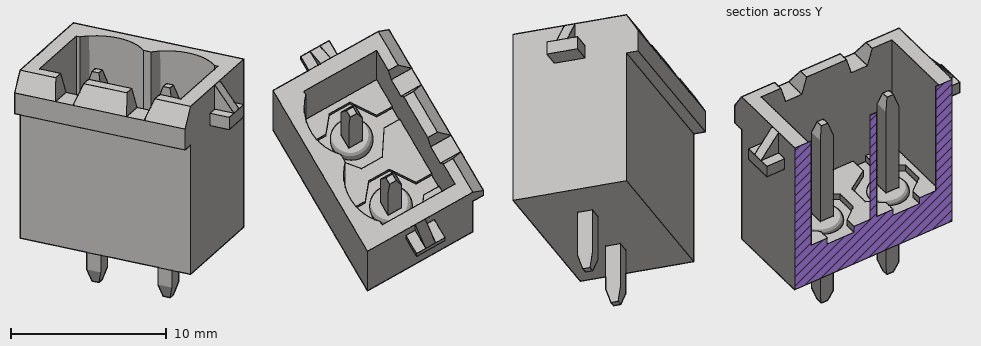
import cadquery as cq
import math


pin_pitch = 5.09
pin_centers = [-pin_pitch / 2, pin_pitch / 2]
pin_width = 1.0
pin_tail = 4.0
tail_taper = 0.88
tip_width = 0.5
head_taper = 0.95
head_drop = 1.02

overall_height = 16.0
height = overall_height - pin_tail
width = 12.2
depth = 7.8
back_y = 3.8
front_y = back_y - depth
lip_depth = 0.8
lip_y = front_y - lip_depth
lip_height = 2.77
lip_bevel_height = 1.28

cavity_width = 10.13
cavity_front_y = -3.3
cavity_back_y = 2.1
lobe_back_y = 3.02
lobe_half_chord = 2.27
floor_z = 3.2

recess_depth = 0.5
recess_half_width = 2.08
recess_wide_back_y = 0.46
recess_wide_front_y = -1.07
recess_back_half_width = 1.02
recess_back_y = 1.33
recess_front_half_width = 0.48
recess_front_y = -2.13

boss_diameter = 2.75
boss_round = recess_depth

notch_top_width = 2.0
notch_floor_width = 1.25
notch_depth = lip_bevel_height

latch_reach = 1.38
latch_y = back_y - depth / 2
foot_width = 2.11
foot_top_drop = 1.73
foot_bottom_drop = 2.6
rib_width = 0.74


def block(x_min, x_max, y_min, y_max, z_min, z_max):
    """Box given by its limits."""
    return cq.Workplane("XY").box(
        x_max - x_min, y_max - y_min, z_max - z_min, centered=False
    ).translate((x_min, y_min, z_min))


def make_shell():
    """Main block with the bevelled lip along the top of its front."""
    return (
        cq.Workplane("YZ")
        .moveTo(back_y, 0)
        .lineTo(back_y, height)
        .lineTo(front_y, height)
        .lineTo(lip_y, height - lip_bevel_height)
        .lineTo(lip_y, height - lip_height)
        .lineTo(front_y, height - lip_height)
        .lineTo(front_y, 0)
        .close()
        .extrude(width / 2, both=True)
    )


def cavity_outline():
    """Open-topped cavity: straight front and sides, one round lobe per pin at the back."""
    outline = (
        cq.Workplane("XY")
        .moveTo(cavity_width / 2, cavity_front_y)
        .lineTo(cavity_width / 2, cavity_back_y)
    )
    for x in reversed(pin_centers):
        outline = (
            outline.lineTo(x + lobe_half_chord, cavity_back_y)
            .threePointArc((x, lobe_back_y), (x - lobe_half_chord, cavity_back_y))
        )
    return (
        outline.lineTo(-cavity_width / 2, cavity_back_y)
        .lineTo(-cavity_width / 2, cavity_front_y)
        .close()
    )


def make_cavity():
    return cavity_outline().extrude(height - floor_z).translate((0, 0, floor_z))


def make_recess(x):
    """Keyhole pocket running from the front wall of the cavity to the lobe."""
    right_side = [
        (recess_front_half_width, cavity_front_y),
        (recess_front_half_width, recess_front_y),
        (recess_half_width, recess_wide_front_y),
        (recess_half_width, recess_wide_back_y),
        (recess_back_half_width, recess_back_y),
        (recess_back_half_width, lobe_back_y),
    ]
    left_side = [(-px, py) for px, py in reversed(right_side)]
    keyhole = cq.Workplane("XY").polyline(right_side + left_side).close()
    keyhole = keyhole.extrude(recess_depth).translate((x, 0, 0))
    keyhole = keyhole.intersect(cavity_outline().extrude(recess_depth))
    return keyhole.translate((0, 0, floor_z - recess_depth))


def make_boss(x):
    """Low round boss, flush with the cavity floor."""
    base_z = floor_z - recess_depth
    radius = boss_diameter / 2
    flat_radius = radius - boss_round
    diagonal = boss_round * math.sqrt(0.5)
    return (
        cq.Workplane("XZ")
        .moveTo(0, base_z)
        .lineTo(radius, base_z)
        .threePointArc((flat_radius + diagonal, base_z + diagonal), (flat_radius, floor_z))
        .lineTo(0, floor_z)
        .close()
        .revolve(360, (0, 0, 0), (0, 1, 0))
        .translate((x, 0, 0))
    )


def make_notch(x):
    """Tapered notch through the front wall and lip into the cavity."""
    return (
        cq.Workplane("XZ", origin=(x, cavity_front_y, height))
        .polyline([
            (-notch_top_width / 2, 0),
            (-notch_floor_width / 2, -notch_depth),
            (notch_floor_width / 2, -notch_depth),
            (notch_top_width / 2, 0),
        ])
        .close()
        .extrude(cavity_front_y - lip_y)
    )


def make_latch(side):
    """Foot on a side wall with a sloping rib above it; side is -1 or 1."""
    inner_x = side * width / 2
    outer_x = inner_x + side * latch_reach
    foot = block(
        min(inner_x, outer_x), max(inner_x, outer_x),
        latch_y - foot_width / 2, latch_y + foot_width / 2,
        height - foot_bottom_drop, height - foot_top_drop,
    )
    rib = (
        cq.Workplane("XZ", origin=(0, latch_y, height))
        .polyline([(inner_x, 0), (inner_x, -foot_top_drop), (outer_x, -foot_top_drop)])
        .close()
        .extrude(rib_width / 2, both=True)
    )
    return foot.union(rib)


def make_pin(x):
    """Square pin with a blunt pyramid at each end."""
    head_z = height - head_drop
    shaft_top = head_z - head_taper
    shaft_bottom = tail_taper - pin_tail

    def taper(z, length):
        return (
            cq.Workplane("XY", origin=(x, 0, z))
            .rect(pin_width, pin_width)
            .workplane(offset=length)
            .rect(tip_width, tip_width)
            .loft(ruled=True)
        )

    shaft = block(
        x - pin_width / 2, x + pin_width / 2, -pin_width / 2, pin_width / 2, shaft_bottom, shaft_top
    )
    head = taper(shaft_top, head_taper)
    tail = taper(shaft_bottom, -tail_taper)
    return shaft.union(head).union(tail)


pins = [make_pin(x) for x in pin_centers]

housing = make_shell().cut(make_cavity())
for x, pin in zip(pin_centers, pins):
    housing = housing.cut(make_recess(x)).union(make_boss(x)).cut(make_notch(x)).cut(pin)
for side in (-1, 1):
    housing = housing.union(make_latch(side))

result = cq.Compound.makeCompound([housing.val(), *[pin.val() for pin in pins]])